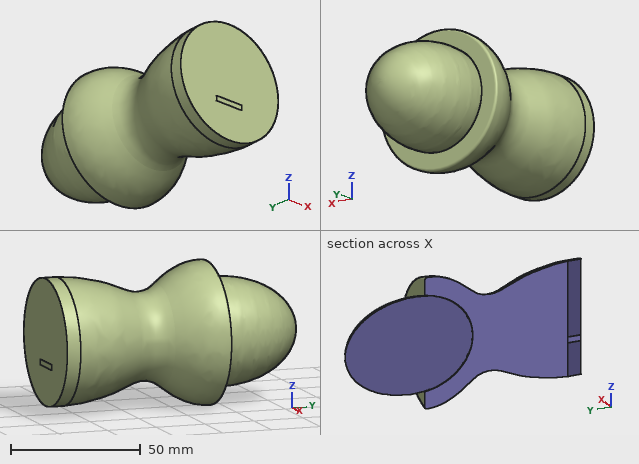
import cadquery as cq
import math


TOTAL_LENGTH = 101.75
BASE_DIAMETER = 49.96
BASE_THICKNESS = 5.5
BOWL_DIAMETER = 56.41
RIM_Y = 66.4
RIM_ROUNDING = 1.0
MOUTH_DIAMETER = 41.96

SHOULDER_RADIUS = 18.6
SHOULDER_Y = 32.8
SHOULDER_DIRECTION = (1.0, -2.6)
NECK_RADIUS = 17.35
NECK_Y = 39.4
BOWL_FOOT_RADIUS = 19.8
BOWL_FOOT_Y = 46.2
BOWL_FOOT_DIRECTION = (-0.78, -1.0)
DOWNWARD = (0.0, -1.0)

BOWL_WAYPOINT = (25.4, 54.4)
SKIRT_WAYPOINTS = [(21.05, 26.8), (23.5, 17.6)]

EGG_RADIUS = 21.3
EGG_WIDEST_Y = 70.9
EGG_ANGLE_STEP = 15

INSERT_WIDTH = 12.9
INSERT_HEIGHT = 2.2
INSERT_CENTRE_Z = -8.8
BASE_SKIN = 0.2

base_radius = BASE_DIAMETER / 2
bowl_radius = BOWL_DIAMETER / 2
rim_radius = bowl_radius - RIM_ROUNDING
bowl_top_y = RIM_Y - RIM_ROUNDING
insert_depth = BASE_THICKNESS - BASE_SKIN
egg_tip_length = TOTAL_LENGTH - EGG_WIDEST_Y
mouth_ratio = MOUTH_DIAMETER / 2 / EGG_RADIUS
egg_blunt_length = (EGG_WIDEST_Y - RIM_Y) / math.sqrt(1 - mouth_ratio**2)


def revolve_about_y(profile):
    return profile.close().revolve(360, (0, 0, 0), (0, 1, 0))


def egg_outline(angle):
    """Point of the egg's outline, from -90 degrees at the blunt end to 90 degrees at the tip."""
    length = egg_tip_length if angle > 0 else egg_blunt_length
    return (
        EGG_RADIUS * math.cos(math.radians(angle)),
        EGG_WIDEST_Y + length * math.sin(math.radians(angle)),
    )


def make_egg():
    """Smooth egg of two half ellipsoids: blunt below the widest ring, pointed above."""
    angles = range(-90, 91, EGG_ANGLE_STEP)
    profile = cq.Workplane("XY").spline([egg_outline(angle) for angle in angles])
    return revolve_about_y(profile)


def make_cup(egg):
    """Bowl, neck and flaring skirt, with a socket that fits the egg."""
    profile = (
        cq.Workplane("XY")
        .moveTo(0, RIM_Y)
        .lineTo(rim_radius, RIM_Y)
        .radiusArc((bowl_radius, bowl_top_y), RIM_ROUNDING)
        .spline(
            [BOWL_WAYPOINT, (BOWL_FOOT_RADIUS, BOWL_FOOT_Y)],
            tangents=[DOWNWARD, BOWL_FOOT_DIRECTION],
            includeCurrent=True,
        )
        .spline(
            [(NECK_RADIUS, NECK_Y), (SHOULDER_RADIUS, SHOULDER_Y)],
            tangents=[BOWL_FOOT_DIRECTION, SHOULDER_DIRECTION],
            includeCurrent=True,
        )
        .spline(
            [*SKIRT_WAYPOINTS, (base_radius, BASE_THICKNESS)],
            tangents=[SHOULDER_DIRECTION, DOWNWARD],
            includeCurrent=True,
        )
        .lineTo(0, BASE_THICKNESS)
    )
    return revolve_about_y(profile).cut(egg)


def make_insert():
    """Flat bar set into the base from the side that meets the cup."""
    return (
        cq.Workplane("XY")
        .box(INSERT_WIDTH, insert_depth, INSERT_HEIGHT)
        .translate((0, BASE_SKIN + insert_depth / 2, INSERT_CENTRE_Z))
    )


def make_base(insert):
    """Round plate under the cup, with a pocket that fits the insert."""
    profile = cq.Workplane("XY").lineTo(base_radius, 0).lineTo(base_radius, BASE_THICKNESS)
    return revolve_about_y(profile.lineTo(0, BASE_THICKNESS)).cut(insert)


egg = make_egg()
cup = make_cup(egg)
insert = make_insert()
base = make_base(insert)

result = cq.Compound.makeCompound([cup.val(), egg.val(), base.val(), insert.val()])